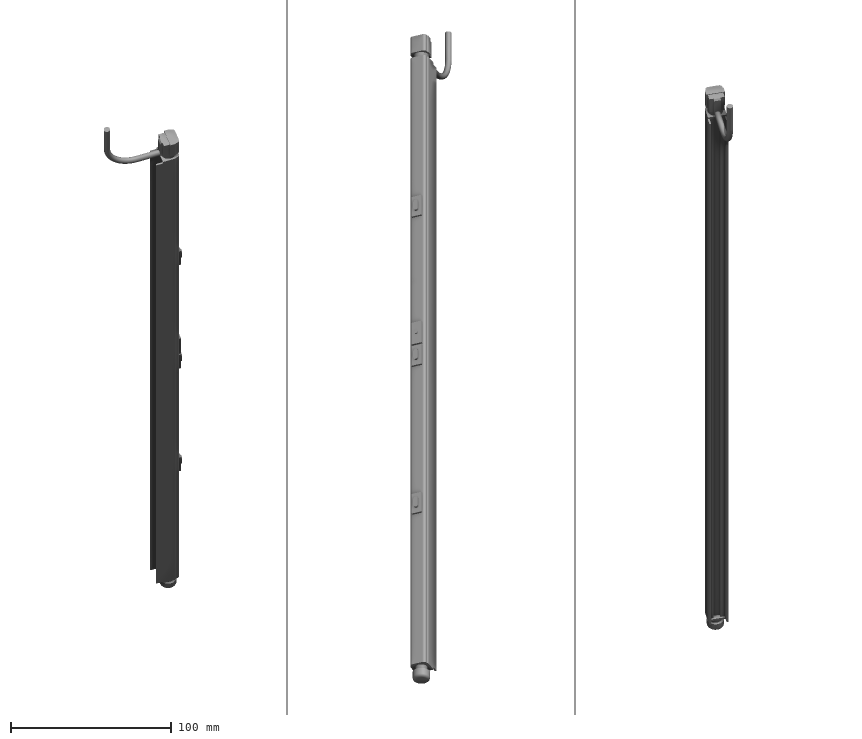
import cadquery as cq
import math

side_lip = 1.1
channel_width = 10.0
bar_width = channel_width + 2 * side_lip
back = 6.0
bar_front = -10.0
crown_flat = 7.0
crown_width = 11.0
crown_rise = 2.2
crown_edge = back - crown_rise
corner_depth = 1.0
side_end = crown_edge - corner_depth
channel_floor = -4.5
groove_width = 4.5
groove_depth = 2.0
groove_floor = channel_floor + groove_depth
bar_bottom = 11.0
bar_top = 449.5

plate_front = -5.5
plate_thickness = 1.5

knob_neck_radius = 4.0
knob_top = 6.0
knob_radius = 5.5
knob_rounding = 2.0

button_heights = [125.5, 233.0, 341.5]
button_length = 7.5
button_width = 3.0
button_rise = 3.0
button_pad_length = 14.5
pad_width = 7.0
pad_rise = 1.5
indicator_height = 249.0
indicator_pad_length = 16.0
indicator_nib_radius = 1.0
indicator_nib_rise = 2.5

cap_neck_radius = 5.0
head_bottom = 454.0
head_top = 466.0
head_rear_end = -0.5
head_front_drop = 0.5
rib_front = -6.0
rib_chamfer = 1.0

tongue_length = 8.5
tongue_step_length = 4.0
tongue_step_depth = 1.0

cable_radius = 2.0
cable_height = 453.3
cable_bend_radius = 20.0
cable_end_y = -40.5
cable_top = 493.0


def box(width, y_from, y_to, z_from, z_to):
    """Box centred on X, between two Y positions and two heights."""
    return (
        cq.Workplane("XY", origin=(0, (y_from + y_to) / 2, z_from))
        .box(width, y_to - y_from, z_to - z_from, centered=(True, True, False))
    )


def crowned_block(front, z_from, z_to):
    """Upright block with the bar's crowned back, cut off flat at the given front."""
    half_width = bar_width / 2
    half_crown = crown_width / 2
    half_flat = crown_flat / 2
    turn = 2 * math.atan2(crown_rise, half_crown - half_flat)
    shoulder_radius = crown_rise / (1 - math.cos(turn))
    shoulder_x = half_flat + shoulder_radius * math.sin(turn / 2)
    shoulder_y = back - shoulder_radius * (1 - math.cos(turn / 2))
    return (
        cq.Workplane("XY", origin=(0, 0, z_from))
        .moveTo(-half_width, front)
        .lineTo(half_width, front)
        .lineTo(half_width, side_end)
        .lineTo(half_crown, crown_edge)
        .threePointArc((shoulder_x, shoulder_y), (half_flat, back))
        .lineTo(-half_flat, back)
        .threePointArc((-shoulder_x, shoulder_y), (-half_crown, crown_edge))
        .lineTo(-half_width, side_end)
        .close()
        .extrude(z_to - z_from)
    )


def neck(radius, z_from, z_to):
    return cq.Workplane("XY", origin=(0, 0, z_from)).circle(radius).extrude(z_to - z_from)


def back_pad(length, height):
    """Flat pad along the crest of the rounded back."""
    return box(pad_width, 0, back + pad_rise, height - length / 2, height + length / 2)


def make_profile():
    profile = crowned_block(bar_front, bar_bottom, bar_top)
    channel = box(channel_width, bar_front, channel_floor, bar_bottom, bar_top)
    groove = box(groove_width, channel_floor, groove_floor, bar_bottom, bar_top)
    return profile.cut(channel).cut(groove)


def make_knob():
    """Round knob with a rounded underside."""
    knob = cq.Workplane("XY").circle(knob_radius).extrude(knob_top)
    return knob.faces("<Z").edges().fillet(knob_rounding)


def make_button(height):
    """Long push button with round ends, upright on its pad."""
    outline = cq.Workplane("XZ", origin=(0, 0, height)).slot2D(button_length, button_width, 90)
    button = outline.extrude(-(back + button_rise))
    return button.union(back_pad(button_pad_length, height))


def make_indicator():
    outline = cq.Workplane("XZ", origin=(0, 0, indicator_height)).circle(indicator_nib_radius)
    nib = outline.extrude(-(back + indicator_nib_rise))
    return nib.union(back_pad(indicator_pad_length, indicator_height))


def make_bar():
    plate_bottom = bar_bottom - plate_thickness
    bar = make_profile()
    bar = bar.union(crowned_block(plate_front, plate_bottom, bar_bottom))
    bar = bar.union(neck(knob_neck_radius, knob_top, plate_bottom)).union(make_knob())
    for height in button_heights:
        bar = bar.union(make_button(height))
    return bar.union(make_indicator())


def make_cap_head():
    front_top = head_top - head_front_drop
    rear = crowned_block(head_rear_end, head_bottom, head_top)
    front = box(channel_width, channel_floor, head_rear_end, head_bottom, front_top)
    rib = box(groove_width, rib_front, channel_floor, head_bottom, front_top)
    rib = rib.faces(">Z").edges("<Y").chamfer(rib_chamfer)
    return rear.union(front).union(rib)


def make_tongue():
    tongue_bottom = bar_top - tongue_length
    step_top = bar_top - tongue_step_length
    tongue = box(groove_width, channel_floor, groove_floor, tongue_bottom, bar_top)
    step_floor = channel_floor + tongue_step_depth
    step = box(groove_width, channel_floor, step_floor, tongue_bottom, step_top)
    return tongue.cut(step)


def make_cable():
    bend_y = cable_end_y + cable_bend_radius
    bend_z = cable_height + cable_bend_radius
    bend_reach = cable_bend_radius * math.sqrt(0.5)
    path = (
        cq.Workplane("YZ")
        .moveTo(0, cable_height)
        .lineTo(bend_y, cable_height)
        .threePointArc((bend_y - bend_reach, bend_z - bend_reach), (cable_end_y, bend_z))
        .lineTo(cable_end_y, cable_top)
    )
    return cq.Workplane("XZ", origin=(0, 0, cable_height)).circle(cable_radius).sweep(path)


def make_cap():
    plate_top = bar_top + plate_thickness
    cap = crowned_block(plate_front, bar_top, plate_top)
    cap = cap.union(neck(cap_neck_radius, plate_top, head_bottom))
    return cap.union(make_cap_head()).union(make_tongue()).union(make_cable())


bar = make_bar()
cap = make_cap()

result = cq.Compound.makeCompound([bar.val(), cap.val()])